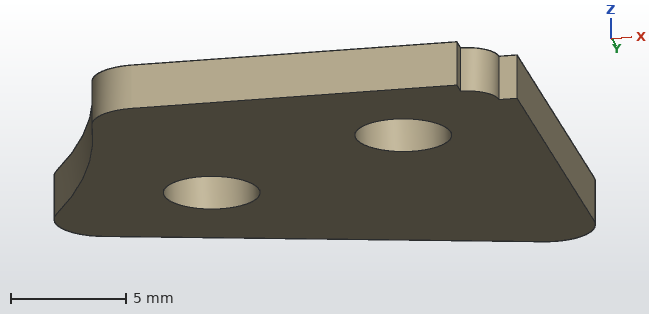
import cadquery as cq
import math

length = 22.92
width = 20.55
thickness = 2.0
corner_radius = 2.2
top_edge_slope = 1 / 4
foot_center_x = -16.6
flank_radius = 30.5
hole_diameter = 4.2
hole_centers = [(-15.47, 11.32), (-5.81, 5.82)]
notch_size = 2.2
notch_tab_radius = 1.4

peak_center = (-corner_radius, width - corner_radius)
shoulder_x = corner_radius - length
shoulder_center = (shoulder_x, peak_center[1] + top_edge_slope * (shoulder_x - peak_center[0]))
foot_center = (foot_center_x, corner_radius)


def point_at(center, radius, angle):
    """Point on a circle, with the angle in radians from +X."""
    return (center[0] + radius * math.cos(angle), center[1] + radius * math.sin(angle))


def flank_center():
    """Centre of the flank arc, which touches the shoulder and foot corners from outside."""
    dx = foot_center[0] - shoulder_center[0]
    dy = foot_center[1] - shoulder_center[1]
    half_span = math.hypot(dx, dy) / 2
    middle = ((shoulder_center[0] + foot_center[0]) / 2, (shoulder_center[1] + foot_center[1]) / 2)
    offset = math.sqrt((flank_radius + corner_radius) ** 2 - half_span ** 2)
    return point_at(middle, offset, math.atan2(dy, dx) - math.pi / 2)


def make_plate():
    """Plate with rounded corners, a sloping top edge and a concave left flank."""
    up = math.pi / 2
    right = 0.0
    down = -math.pi / 2
    top_normal = up + math.atan(top_edge_slope)
    center = flank_center()
    to_shoulder = math.atan2(shoulder_center[1] - center[1], shoulder_center[0] - center[0])
    to_foot = math.atan2(foot_center[1] - center[1], foot_center[0] - center[0])

    def corner_arc(sketch, corner, start, end):
        """Round a corner, starting from the current end of the outline."""
        return sketch.threePointArc(
            point_at(corner, corner_radius, (start + end) / 2),
            point_at(corner, corner_radius, end),
        )

    outline = cq.Workplane("XY").moveTo(0, 0).lineTo(*point_at(peak_center, corner_radius, right))
    outline = corner_arc(outline, peak_center, right, top_normal)
    outline = outline.lineTo(*point_at(shoulder_center, corner_radius, top_normal))
    outline = corner_arc(outline, shoulder_center, top_normal, to_shoulder + math.pi)
    outline = outline.threePointArc(
        point_at(center, flank_radius, (to_shoulder + to_foot) / 2),
        point_at(center, flank_radius, to_foot),
    )
    outline = corner_arc(outline, foot_center, to_foot - math.pi, down)
    return outline.close().extrude(thickness)


def make_notch():
    """Square corner cutter that spares a quarter-round tab."""
    square = cq.Workplane("XY").rect(2 * notch_size, 2 * notch_size).extrude(thickness)
    tab = cq.Workplane("XY").center(-notch_size, notch_size).circle(notch_tab_radius).extrude(thickness)
    return square.cut(tab)


def make_holes():
    """Cutters for the two through holes."""
    return cq.Workplane("XY").pushPoints(hole_centers).circle(hole_diameter / 2).extrude(thickness)


result = make_plate().cut(make_notch()).cut(make_holes())